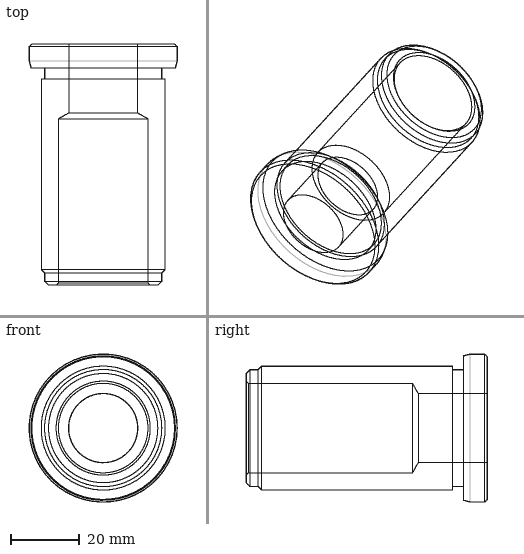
import cadquery as cq
import math

length = 70.0

flange_radius = 21.5
flange_thickness = 7.0
back_chamfer_length = 0.8
back_chamfer_angle = 45.0
front_taper_length = 2.0
front_taper_angle = 15.0

body_radius = 18.0
groove_radius = 17.0
groove_width = 3.1

nose_radius = 17.0
nose_length = 3.5
shoulder_chamfer = body_radius - nose_radius
nose_chamfer = 1.15

bore_radius = 13.0
mouth_chamfer = 0.65
back_hole_radius = 10.0
bore_taper_angle = 60.0
back_hole_length = 2 * back_hole_radius


def taper_drop(axial_length, angle):
    """Radius change over an axial length at an angle to the axis."""
    return axial_length * math.tan(math.radians(angle))


def outer_profile():
    """(radius, station) corners from the back face to the nose end."""
    back_radius = flange_radius - taper_drop(back_chamfer_length, back_chamfer_angle)
    front_radius = flange_radius - taper_drop(front_taper_length, front_taper_angle)
    groove_end = flange_thickness + groove_width
    shoulder = length - nose_length
    return [
        (back_radius, 0),
        (flange_radius, back_chamfer_length),
        (flange_radius, flange_thickness - front_taper_length),
        (front_radius, flange_thickness),
        (groove_radius, flange_thickness),
        (groove_radius, groove_end),
        (body_radius, groove_end),
        (body_radius, shoulder - shoulder_chamfer),
        (nose_radius, shoulder),
        (nose_radius, length - nose_chamfer),
        (nose_radius - nose_chamfer, length),
    ]


def bore_profile():
    """(radius, station) corners of the bore from the nose end to the back face."""
    taper_step = bore_radius - back_hole_radius
    taper_length = taper_step / math.tan(math.radians(bore_taper_angle))
    return [
        (bore_radius + mouth_chamfer, length),
        (bore_radius, length - mouth_chamfer),
        (bore_radius, back_hole_length + taper_length),
        (back_hole_radius, back_hole_length),
        (back_hole_radius, 0),
    ]


def revolve_about_y(corners):
    """Revolve (radius, station) corners about Y, with stations running toward -Y."""
    points = [(radius, -station) for radius, station in corners]
    return cq.Workplane("XY").polyline(points).close().revolve(360, (0, 0), (0, 1))


result = revolve_about_y(outer_profile() + bore_profile())